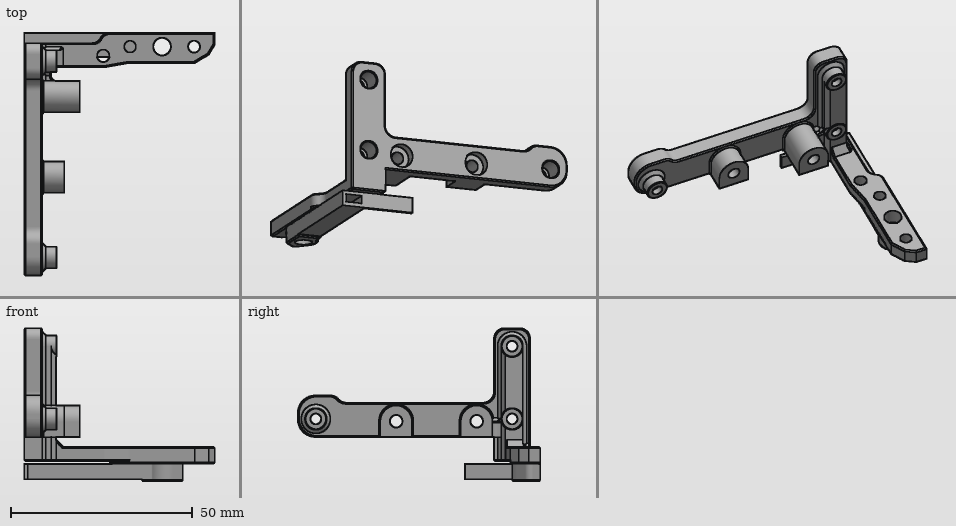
import cadquery as cq
import math

edge_chamfer = 0.4
foot = 1.0

plate_thickness = 5.0
plate_core = plate_thickness / 2
plate_half_width = 5.0
end_socket_y = 5.0
post_socket_y = 59.0
socket_z = 17.2
socket_pitch_z = 20.0
top_socket_z = socket_z + socket_pitch_z
post_front = post_socket_y - plate_half_width
post_back = post_socket_y + plate_half_width
plate_top = top_socket_z + plate_half_width
plate_bottom = 5.6
arm_bottom = socket_z - plate_half_width
arm_top = 21.7
end_rise = 2.0
end_top = arm_top + end_rise
end_flat_y = 8.9
plate_radius = 3.0

socket_boss_d = 6.0
socket_boss_tip = 9.0
socket_tip_chamfer = 0.2
socket_bore_d = 4.7
socket_bore_depth = 7.0
socket_mouth_chamfer = 0.25
socket_through_d = 2.9

pillar_width = 8.7
pillar_z = arm_bottom + pillar_width / 2
pillar_spots = [(49.25, 15.3), (27.1, 11.1)]
pillar_foot = 0.4
pillar_bore_d = 3.4
pillar_counterbore_d = 6.5
pillar_counterbore_depth = 3.0

column_front = post_socket_y - socket_boss_d / 2
column_back = post_socket_y + socket_boss_d / 2
column_face = 7.4
column_depth = 8.8
column_bevel_y = 1.1
gusset = 2.0
gusset_corner = 0.6

web_top = pillar_z
web_radius = 1.4

shelf_top = 9.5
shelf_length = 52.47
back_y = 66.78
shelf_front = 57.3
shelf_narrow_front = 58.5
shelf_taper_radius = 3.0
shelf_taper = (22.05, 28.85)
shelf_tip = [(46.9, shelf_narrow_front), (50.8, 60.8), (shelf_length, 63.6)]
shelf_curve_start = 18.8
shelf_curve_radius = 2.5

hub_x = 37.95
hub_y = 63.0
hub_bore_d = 4.8
horn_pitch = 8.8
horn_hole_d = 3.21
offset_hole = (21.75, 60.5)
offset_hole_d = 3.4
pad_bottom = 4.85
pad_back_x = 23.5

lever_bottom = 0.6
lever_top = pad_bottom
lever_front = 60.1
lever_apex_x = 44.3
lever_hub_radius = 4.0
lever_inner_radius = 0.5
lever_tip_radius = 1.5
lip_thickness = 1.0
lip_end_y = 46.0
lever_pad_x = 32.4
channel_wall = 1.0
channel_width = 4.7
channel_bottom = 1.7
channel_top = 3.9
channel_depth = 31.0
channel_end_radius = 3.75
channel_end_y = 64.5
channel_flat_angle = math.radians(38)


def box(x_range, y_range, z_range):
    low = (x_range[0], y_range[0], z_range[0])
    size = (x_range[1] - x_range[0], y_range[1] - y_range[0], z_range[1] - z_range[0])
    return cq.Workplane("XY").box(*size, centered=False).translate(low)


def rod(diameter, y, z, x_start, x_end):
    """Cylinder along X."""
    return cq.Workplane("YZ", origin=(x_start, y, z)).circle(diameter / 2).extrude(x_end - x_start)


def cone(start_d, end_d, y, z, x_start, x_end):
    """Cone along X."""
    start = cq.Workplane("YZ", origin=(x_start, y, z)).circle(start_d / 2)
    return start.workplane(offset=x_end - x_start).circle(end_d / 2).loft()


def prism(plane, outline, start, end):
    """Polygon drawn in a plane and extruded along its normal (-Y for "XZ") from `start` to `end`."""
    return cq.Workplane(plane).workplane(offset=start).polyline(outline).close().extrude(end - start)


def s_curve_run(rise, radius):
    """Length of an S-curve of two equal arcs that shifts a line sideways by `rise`."""
    turn = math.acos(1 - rise / (2 * radius))
    return 2 * radius * math.sin(turn)


def add_s_curve(sketch, start, end, radius):
    """Two equal arcs from `start` to `end`, both ends running along the first sketch axis."""
    middle = ((start[0] + end[0]) / 2, (start[1] + end[1]) / 2)
    half_turn = math.acos(1 - abs(end[1] - start[1]) / (2 * radius)) / 2
    across = math.copysign(radius * math.sin(half_turn), end[0] - start[0])
    sag = math.copysign(radius * (1 - math.cos(half_turn)), end[1] - start[1])
    sketch = sketch.threePointArc((start[0] + across, start[1] + sag), middle)
    return sketch.threePointArc((end[0] - across, end[1] - sag), end)


def make_plate():
    """L-shaped upright plate with a rounded arm end."""
    diagonal = plate_half_width * math.sqrt(0.5)
    upper_centre_z = end_top - plate_half_width
    curve_end_y = end_flat_y + s_curve_run(end_rise, plate_radius)
    sketch = cq.Workplane("YZ").moveTo(post_front, plate_bottom).lineTo(post_front, arm_bottom)
    sketch = sketch.lineTo(end_socket_y, arm_bottom)
    sketch = sketch.threePointArc((end_socket_y - diagonal, socket_z - diagonal), (0, socket_z))
    sketch = sketch.lineTo(0, upper_centre_z)
    sketch = sketch.threePointArc(
        (end_socket_y - diagonal, upper_centre_z + diagonal), (end_socket_y, end_top)
    )
    sketch = sketch.lineTo(end_flat_y, end_top)
    sketch = add_s_curve(sketch, (end_flat_y, end_top), (curve_end_y, arm_top), plate_radius)
    sketch = sketch.lineTo(post_front, arm_top).lineTo(post_front, plate_top)
    sketch = sketch.lineTo(post_back, plate_top).lineTo(post_back, plate_bottom).close()
    plate = sketch.extrude(plate_thickness)

    upper_post = cq.selectors.BoxSelector(
        (-1, post_front - 1, arm_top - 1), (plate_thickness + 1, post_back + 1, plate_top + 1)
    )
    plate = plate.edges("|X").edges(upper_post).fillet(plate_radius)

    post_foot = cq.selectors.BoxSelector(
        (-1, post_front - edge_chamfer, plate_bottom - 1),
        (plate_thickness + 1, post_socket_y + edge_chamfer, arm_bottom - edge_chamfer),
    )
    outer_edges = plate.faces("<X or >X").edges("not |X")
    chamfered = [edge for edge in outer_edges.vals() if not post_foot.filter([edge])]
    return plate.newObject(chamfered).chamfer(edge_chamfer)


def make_column():
    """Column behind the post, with 45 degree feet on the plate and a bevelled front corner."""
    outline = [
        (plate_core, column_front - foot),
        (plate_thickness, column_front - foot),
        (plate_thickness + foot, column_front),
        (column_face, column_front),
        (column_depth, column_front + column_bevel_y),
        (column_depth, column_back),
        (plate_thickness + foot, column_back),
        (plate_thickness, column_back + foot),
        (plate_core, column_back + foot),
    ]
    return prism("XY", outline, plate_bottom, top_socket_z)


def shelf_blank(bottom, top):
    """Outline of the shelf, extruded from `bottom` to `top`."""
    curve_end_x = shelf_curve_start + s_curve_run(back_y - post_back, shelf_curve_radius)
    sketch = cq.Workplane("XY", origin=(0, 0, bottom)).moveTo(plate_core, shelf_front)
    sketch = sketch.lineTo(shelf_taper[0], shelf_front).lineTo(shelf_taper[1], shelf_narrow_front)
    for point in shelf_tip:
        sketch = sketch.lineTo(*point)
    sketch = sketch.lineTo(shelf_length, back_y).lineTo(curve_end_x, back_y)
    sketch = add_s_curve(sketch, (curve_end_x, back_y), (shelf_curve_start, post_back), shelf_curve_radius)
    blank = sketch.lineTo(plate_core, post_back).close().extrude(top - bottom)
    taper_ends = [(shelf_taper[0], shelf_front), (shelf_taper[1], shelf_narrow_front)]
    for x, y in taper_ends:
        corner = cq.selectors.NearestToPointSelector((x, y, (bottom + top) / 2))
        blank = blank.edges("|Z").edges(corner).fillet(shelf_taper_radius)
    return blank


def make_shelf():
    shelf = shelf_blank(plate_bottom, shelf_top)
    return shelf.faces(">Z").edges("not <X").chamfer(edge_chamfer)


def make_shelf_pad():
    """Lower step of the shelf that rests on the lever."""
    side = [
        (shelf_taper[1], shelf_narrow_front),
        (shelf_length, shelf_narrow_front),
        (shelf_length, back_y),
        (pad_back_x, back_y),
    ]
    pad_top = shelf_top - 2 * edge_chamfer
    pad = shelf_blank(pad_bottom, pad_top).intersect(prism("XY", side, pad_bottom, pad_top))
    return pad.faces("<Z").edges().chamfer(edge_chamfer)


def make_gussets():
    """45 degree gussets in the corners where the shelf meets the column and the plate."""
    root_z = shelf_top - gusset / 2
    side = [
        (plate_core, root_z),
        (column_depth + gusset + shelf_top - root_z, root_z),
        (column_depth, shelf_top + gusset),
        (plate_core, shelf_top + gusset),
    ]
    far = prism("XZ", side, -column_back, -shelf_front)
    far = far.faces("<Y").edges("not (|X or |Z)").chamfer(edge_chamfer)
    foot_x = column_depth + gusset
    foot_y = column_back + foot
    back_outline = [
        (plate_core, post_socket_y),
        (foot_x, post_socket_y),
        (foot_x, foot_y - gusset_corner),
        (foot_x - gusset_corner, foot_y),
        (plate_core, foot_y),
    ]
    back = cq.Workplane("XY", origin=(0, 0, shelf_top)).polyline(back_outline).close()
    back = back.extrude(foot, taper=45)
    wall_side = [
        (plate_core, shelf_top),
        (plate_thickness + foot, shelf_top),
        (plate_thickness, shelf_top + foot),
        (plate_core, shelf_top + foot),
    ]
    wall = prism("XZ", wall_side, edge_chamfer - post_back, -post_socket_y)
    return far.union(back).union(wall)


def make_web():
    """Web from the column to the first pillar, flared into the pillar, with 45 degree feet on top."""
    pillar_side = pillar_spots[0][0] + pillar_width / 2
    inside_y = pillar_side - foot
    flare = web_radius * (1 - math.sqrt(0.5))
    sketch = cq.Workplane("XY", origin=(0, 0, arm_bottom)).moveTo(plate_core, inside_y)
    sketch = sketch.lineTo(column_face + web_radius, inside_y)
    sketch = sketch.lineTo(column_face + web_radius, pillar_side)
    sketch = sketch.threePointArc(
        (column_face + flare, pillar_side + flare), (column_face, pillar_side + web_radius)
    )
    sketch = sketch.lineTo(column_face, column_front + foot).lineTo(plate_core, column_front + foot).close()
    web = sketch.extrude(web_top - arm_bottom)
    inner_edges = cq.selectors.BoxSelector(
        (column_face - edge_chamfer, pillar_side, web_top - edge_chamfer),
        (shelf_length, column_front + foot, web_top + edge_chamfer),
    )
    web = web.edges(inner_edges).chamfer(edge_chamfer)
    plate_foot = [
        (plate_core, web_top),
        (plate_thickness + foot, web_top),
        (plate_thickness, web_top + foot),
        (plate_core, web_top + foot),
    ]
    column_foot = [
        (column_front - foot, web_top),
        (column_front + foot, web_top),
        (column_front + foot, web_top + foot),
        (column_front, web_top + foot),
    ]
    web = web.union(prism("XZ", plate_foot, -column_front - foot, -inside_y))
    return web.union(prism("YZ", column_foot, plate_core, column_face - edge_chamfer))


def make_socket_boss(y, z):
    root = cone(socket_boss_d + 2 * foot, socket_boss_d, y, z, plate_thickness, plate_thickness + foot)
    boss = rod(socket_boss_d, y, z, plate_core, socket_boss_tip)
    return boss.faces(">X").chamfer(socket_tip_chamfer).union(root)


def cut_socket(bracket, y, z):
    mouth_d = socket_bore_d + 2 * socket_mouth_chamfer
    bracket = bracket.cut(rod(socket_through_d, y, z, 0, socket_boss_tip))
    bracket = bracket.cut(rod(socket_bore_d, y, z, 0, socket_bore_depth))
    return bracket.cut(cone(mouth_d, socket_bore_d, y, z, 0, socket_mouth_chamfer))


def arch(width, y, x_start):
    """Arched pillar outline: round on top, square at the bottom edge of the arm."""
    half = width / 2
    sketch = cq.Workplane("YZ", origin=(x_start, y, pillar_z)).moveTo(half, arm_bottom - pillar_z)
    sketch = sketch.lineTo(half, 0).threePointArc((0, half), (-half, 0))
    return sketch.lineTo(-half, arm_bottom - pillar_z).close()


def make_pillar(y, tip_x):
    pillar = arch(pillar_width, y, plate_core).extrude(tip_x - plate_core)
    root = arch(pillar_width + 2 * pillar_foot, y, plate_thickness).extrude(pillar_foot, taper=45)
    above_arm_bottom = box((0, tip_x), (0, back_y), (arm_bottom, plate_top))
    return pillar.union(root.intersect(above_arm_bottom))


def cut_pillar(bracket, y, tip_x):
    bracket = bracket.cut(rod(pillar_bore_d, y, pillar_z, 0, tip_x))
    return bracket.cut(rod(pillar_counterbore_d, y, pillar_z, 0, pillar_counterbore_depth))


def make_bracket():
    sockets = [(end_socket_y, socket_z), (post_socket_y, socket_z), (post_socket_y, top_socket_z)]
    bracket = make_plate().union(make_column()).union(make_shelf())
    bracket = bracket.faces("<Z").edges().chamfer(edge_chamfer)
    bracket = bracket.union(make_shelf_pad()).union(make_gussets()).union(make_web())
    for y, z in sockets:
        bracket = bracket.union(make_socket_boss(y, z))
    for y, tip_x in pillar_spots:
        bracket = bracket.union(make_pillar(y, tip_x))
    for y, z in sockets:
        bracket = cut_socket(bracket, y, z)
    for y, tip_x in pillar_spots:
        bracket = cut_pillar(bracket, y, tip_x)

    shelf_holes = [
        (hub_x, hub_y, hub_bore_d),
        (hub_x - horn_pitch, hub_y, horn_hole_d),
        (hub_x + horn_pitch, hub_y, horn_hole_d),
        (*offset_hole, offset_hole_d),
    ]
    for x, y, diameter in shelf_holes:
        hole = cq.Workplane("XY", origin=(x, y, pad_bottom)).circle(diameter / 2)
        bracket = bracket.cut(hole.extrude(shelf_top - pad_bottom))
    return bracket


def lever_blank(bottom, top):
    """Outline of the lever arm, bulging round the hub, extruded from `bottom` to `top`."""
    reach = lever_hub_radius * math.sqrt(0.5)
    drop = hub_y - lever_front
    bulge_x = hub_x - math.sqrt(lever_hub_radius**2 - drop**2)
    tip_y = hub_y - reach + (lever_apex_x - hub_x - reach)
    tip_back_x = lever_apex_x - (back_y - tip_y)
    sketch = cq.Workplane("XY", origin=(0, 0, bottom)).moveTo(0, lever_front).lineTo(bulge_x, lever_front)
    sketch = sketch.threePointArc((hub_x, hub_y - lever_hub_radius), (hub_x + reach, hub_y - reach))
    sketch = sketch.lineTo(lever_apex_x, tip_y).lineTo(tip_back_x, back_y).lineTo(0, back_y).close()
    blank = sketch.extrude(top - bottom)
    tip_edge = cq.selectors.NearestToPointSelector((lever_apex_x, tip_y, (bottom + top) / 2))
    inner_edge = cq.selectors.NearestToPointSelector((bulge_x, lever_front, (bottom + top) / 2))
    blank = blank.edges("|Z").edges(tip_edge).fillet(lever_tip_radius)
    return blank.edges("|Z").edges(inner_edge).fillet(lever_inner_radius)


def make_channel():
    """Blind channel along the lever; its end wall bulges inward and runs out along a tangent flat."""
    back = back_y - channel_wall
    front = back - channel_width
    centre_x = channel_depth + channel_end_radius
    back_rise = back - channel_end_y
    back_x = centre_x - math.sqrt(channel_end_radius**2 - back_rise**2)
    flat_start_x = centre_x - channel_end_radius * math.cos(channel_flat_angle)
    flat_start_y = channel_end_y - channel_end_radius * math.sin(channel_flat_angle)
    front_x = flat_start_x + (flat_start_y - front) * math.tan(channel_flat_angle)
    channel = cq.Workplane("XY", origin=(0, 0, channel_bottom)).moveTo(0, front).lineTo(front_x, front)
    channel = channel.lineTo(flat_start_x, flat_start_y)
    channel = channel.threePointArc((channel_depth, channel_end_y), (back_x, back))
    return channel.lineTo(0, back).close().extrude(channel_top - channel_bottom)


def make_lever():
    lever = lever_blank(lever_bottom, lever_top)
    lever = lever.union(box((0, lip_thickness), (lip_end_y, back_y), (lever_bottom, lever_top)))
    hub_end = box((lever_pad_x, lever_apex_x), (lip_end_y, back_y), (0, lever_top))
    pad = lever_blank(0, lever_top).intersect(hub_end).faces("<Z").edges().chamfer(edge_chamfer)
    bore = cq.Workplane("XY", origin=(hub_x, hub_y, 0)).circle(hub_bore_d / 2).extrude(lever_top)
    return lever.union(pad).cut(bore).cut(make_channel())


bracket = make_bracket()
lever = make_lever()
result = cq.Compound.makeCompound([bracket.val(), lever.val()])